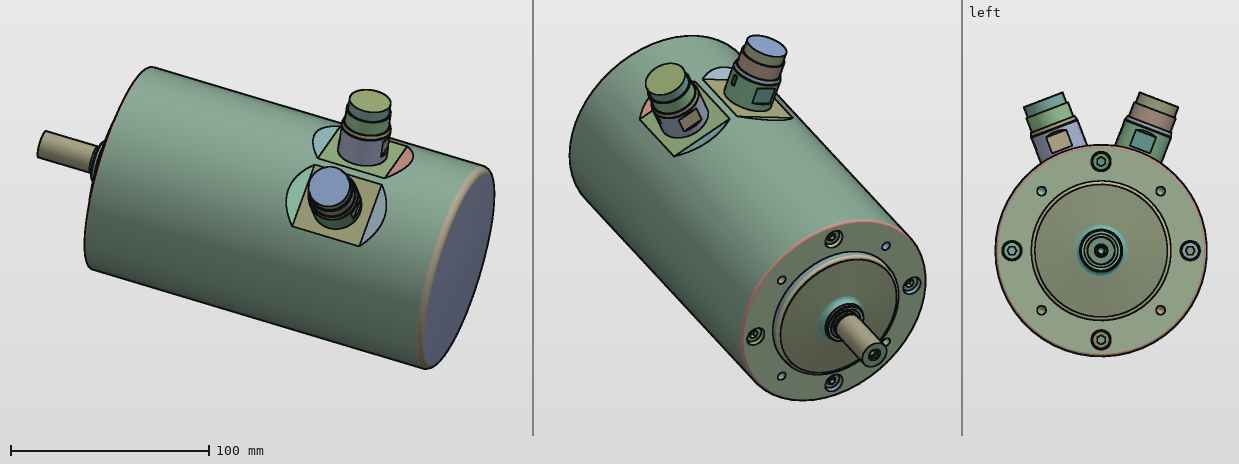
import cadquery as cq
import math


shaft_groove_start = 28.0
shaft_groove_width = 1.1
seal_face_x = 30.0
hub_start_x = 32.0
cone_start_x = 35.7
cone_rim_x = 37.5
pilot_face_x = 37.7
flange_face_x = 42.5
rear_rim_x = 224.9
rear_tip_x = 226.0

shaft_diameter = 14.0
shaft_groove_diameter = 13.5
seal_diameter = 21.0
seal_chamfer = 0.5
seal_recess_diameter = 17.0
seal_recess_depth = 0.7
hub_diameter = 21.5
hub_fillet = 2.7
cone_rim_diameter = 67.0
pilot_diameter = 70.5
pilot_fillet = 1.4
body_diameter = 107.0
front_fillet = 1.4
rear_fillet = 3.5

centre_mouth_diameter = 6.5
centre_mouth_depth = 0.7
centre_bore_diameter = 5.2
centre_bore_depth = 2.3
centre_hole_diameter = 3.5
centre_hole_depth = 6.8

screw_count = 4
screw_circle_radius = 45.0
counterbore_diameter = 10.0
counterbore_depth = 7.2
screw_head_diameter = 8.5
screw_head_height = 5.0
socket_sides = 6
socket_width = 4.0
socket_depth = 2.7

mount_hole_circle_radius = 42.5
mount_hole_diameter = 4.5
mount_hole_depth = 9.0
drill_point_angle = 118.0

connector_x = 165.9
connector_tilt = 21.0
seat_height = 50.6
seat_length = 36.2
seat_ramp_angle = 20.0
seat_cut_clearance = 2.3

connector_diameter = 25.0
connector_flat_width = 22.5
flat_bottom_height = 54.7
flat_top_height = 63.3
flat_slope_height = 1.1
key_slot_width = 2.5
key_slot_bottom_height = 58.5
key_slot_top_height = 63.7
key_slot_depth = 0.5
groove_bottom_height = 65.8
groove_top_height = 66.2
groove_diameter = 23.0
shoulder_diameter = 23.7
shoulder_top_height = 68.3
sleeve_diameter = 22.5
sleeve_top_height = 76.0
cap_diameter = 21.0
cap_top_height = 81.5

body_radius = body_diameter / 2
hub_radius = hub_diameter / 2
pilot_radius = pilot_diameter / 2


def cylinder_x(diameter, start, length, z=0.0):
    """Cylinder along +X."""
    circle = cq.Workplane("YZ", origin=(start, 0, z)).circle(diameter / 2)
    return circle.extrude(length)


def drilled_hole(diameter, start, depth, z=0.0):
    """Cutter for a blind hole along +X that ends in a drill point."""
    radius = diameter / 2
    tip_length = radius / math.tan(math.radians(drill_point_angle / 2))
    profile = cq.Workplane("XY").polyline(
        [
            (start, 0),
            (start, radius),
            (start + depth, radius),
            (start + depth + tip_length, 0),
        ]
    )
    cutter = profile.close().revolve(360, (0, 0, 0), (1, 0, 0))
    return cutter.translate((0, 0, z))


def motor_blank():
    """Body, flange, pilot, hub and shaft as one turned profile."""
    hub_fillet_end = hub_radius + hub_fillet
    return (
        cq.Workplane("XY")
        .moveTo(0, 0)
        .lineTo(0, shaft_diameter / 2)
        .lineTo(seal_face_x, shaft_diameter / 2)
        .lineTo(seal_face_x, seal_diameter / 2 - seal_chamfer)
        .lineTo(seal_face_x + seal_chamfer, seal_diameter / 2)
        .lineTo(hub_start_x, seal_diameter / 2)
        .lineTo(hub_start_x, hub_radius)
        .lineTo(cone_start_x - hub_fillet, hub_radius)
        .radiusArc((cone_start_x, hub_fillet_end), -hub_fillet)
        .lineTo(cone_rim_x, cone_rim_diameter / 2)
        .lineTo(pilot_face_x, cone_rim_diameter / 2)
        .lineTo(pilot_face_x, pilot_radius - pilot_fillet)
        .radiusArc((pilot_face_x + pilot_fillet, pilot_radius), pilot_fillet)
        .lineTo(flange_face_x, pilot_radius)
        .lineTo(flange_face_x, body_radius - front_fillet)
        .radiusArc((flange_face_x + front_fillet, body_radius), front_fillet)
        .lineTo(rear_rim_x - rear_fillet, body_radius)
        .radiusArc((rear_rim_x, body_radius - rear_fillet), rear_fillet)
        .lineTo(rear_tip_x, 0)
        .close()
        .revolve(360, (0, 0, 0), (1, 0, 0))
    )


def ring_cutter(outer_diameter, inner_diameter, start, length):
    """Cutter for an annular groove around the shaft."""
    outer = cylinder_x(outer_diameter, start, length)
    return outer.cut(cylinder_x(inner_diameter, start, length))


def centre_hole():
    """Cutter for the countersunk, stepped blind hole in the shaft tip."""
    mouth = (
        cq.Workplane("YZ")
        .circle(centre_mouth_diameter / 2)
        .workplane(offset=centre_mouth_depth)
        .circle(centre_bore_diameter / 2)
        .loft()
    )
    bore = cylinder_x(centre_bore_diameter, 0, centre_bore_depth)
    return mouth.union(bore).union(drilled_hole(centre_hole_diameter, 0, centre_hole_depth))


def screw_recess():
    """Cutter that leaves a socket-head screw standing in a counterbore at the top of the flange."""
    floor_x = flange_face_x + counterbore_depth
    head_x = floor_x - screw_head_height
    counterbore = cylinder_x(counterbore_diameter, flange_face_x, counterbore_depth, z=screw_circle_radius)
    head = cylinder_x(screw_head_diameter, head_x, screw_head_height, z=screw_circle_radius)
    socket_corner_diameter = socket_width / math.cos(math.pi / socket_sides)
    socket = (
        cq.Workplane("YZ", origin=(head_x, 0, screw_circle_radius))
        .transformed(rotate=(0, 0, 90))
        .polygon(socket_sides, socket_corner_diameter)
        .extrude(socket_depth)
    )
    return counterbore.cut(head).union(socket)


def connector_seat():
    """Cutter for an upright seat: a flat floor with a ramp up at each end."""
    top = body_radius + seat_cut_clearance
    half_length = seat_length / 2
    ramp_run = (top - seat_height) / math.tan(math.radians(seat_ramp_angle))
    return (
        cq.Workplane("XZ", origin=(connector_x, 0, 0))
        .polyline(
            [
                (-half_length, seat_height),
                (half_length, seat_height),
                (half_length + ramp_run, top),
                (-half_length - ramp_run, top),
            ]
        )
        .close()
        .extrude(body_radius, both=True)
    )


def tilted(shape, side):
    """Turn an upright shape about the shaft axis, towards +Y for side 1 and -Y for side -1."""
    return shape.rotate((0, 0, 0), (1, 0, 0), -side * connector_tilt)


def build_motor():
    """Motor with its shaft, flange screws, mounting holes and connector seats."""
    motor = motor_blank()
    motor = motor.cut(
        ring_cutter(shaft_diameter, shaft_groove_diameter, shaft_groove_start, shaft_groove_width)
    )
    motor = motor.cut(
        ring_cutter(seal_recess_diameter, shaft_diameter, seal_face_x, seal_recess_depth)
    )
    motor = motor.cut(centre_hole())
    step_angle = 360 / screw_count
    mount_hole = drilled_hole(
        mount_hole_diameter, flange_face_x, mount_hole_depth, z=mount_hole_circle_radius
    )
    for i in range(screw_count):
        motor = motor.cut(screw_recess().rotate((0, 0, 0), (1, 0, 0), i * step_angle))
        motor = motor.cut(mount_hole.rotate((0, 0, 0), (1, 0, 0), (i + 0.5) * step_angle))
    for side in (1, -1):
        motor = motor.cut(tilted(connector_seat(), side))
    return motor


def build_connector(side):
    """Stepped round plug with two wrench flats and a key slot, standing on its seat."""
    base_radius = connector_diameter / 2
    groove_radius = groove_diameter / 2
    sleeve_radius = sleeve_diameter / 2
    cap_radius = cap_diameter / 2
    plug = (
        cq.Workplane("XZ")
        .polyline(
            [
                (0, seat_height),
                (base_radius, seat_height),
                (base_radius, groove_bottom_height),
                (groove_radius, groove_bottom_height),
                (groove_radius, groove_top_height),
                (base_radius, groove_top_height),
                (shoulder_diameter / 2, shoulder_top_height),
                (sleeve_radius, shoulder_top_height),
                (sleeve_radius, sleeve_top_height),
                (cap_radius, sleeve_top_height),
                (cap_radius, cap_top_height),
                (0, cap_top_height),
            ]
        )
        .close()
        .revolve(360, (0, 0, 0), (0, 1, 0))
    )
    flat_distance = connector_flat_width / 2
    for end in (1, -1):
        flat_cutter = (
            cq.Workplane("XZ")
            .polyline(
                [
                    (end * flat_distance, flat_bottom_height),
                    (end * base_radius, flat_bottom_height),
                    (end * base_radius, flat_top_height + flat_slope_height),
                    (end * flat_distance, flat_top_height),
                ]
            )
            .close()
            .extrude(base_radius, both=True)
        )
        plug = plug.cut(flat_cutter)
    key_slot = cq.Workplane("XY").box(
        key_slot_width,
        2 * key_slot_depth,
        key_slot_top_height - key_slot_bottom_height,
        centered=(True, True, False),
    )
    plug = plug.cut(key_slot.translate((0, connector_diameter / 2, key_slot_bottom_height)))
    return tilted(plug.translate((connector_x, 0, 0)), side)


motor = build_motor()
connectors = [build_connector(side) for side in (1, -1)]

result = cq.Compound.makeCompound([motor.val(), *[connector.val() for connector in connectors]])